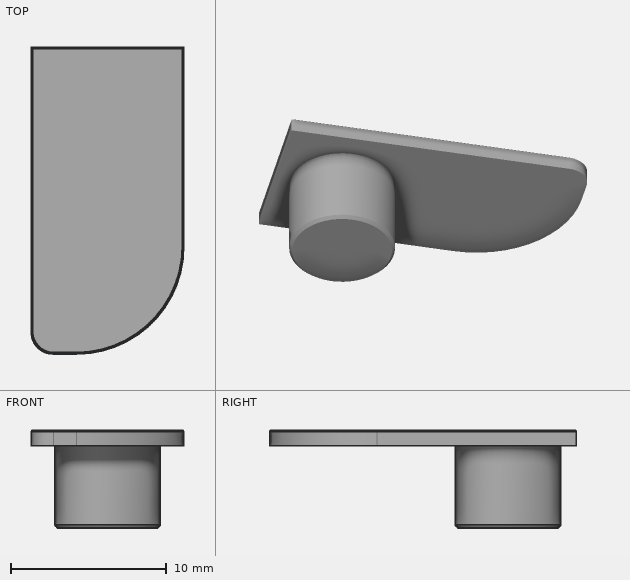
import cadquery as cq

plate_width = 9.8
plate_length = 19.72
plate_thickness = 1.0
small_corner_radius = 1.42
large_corner_radius = 6.9
top_edge_chamfer = 0.1

total_height = 6.3
boss_diameter = 6.8
boss_height = total_height - plate_thickness
boss_to_back_edge = 4.4
boss_chamfer = 0.2


def make_plate():
    """Flat plate with two unequal rounded front corners and a broken top edge."""
    plate = cq.Workplane("XY").rect(plate_width, plate_length).extrude(plate_thickness)
    plate = plate.edges("|Z and <X and <Y").fillet(small_corner_radius)
    plate = plate.edges("|Z and >X and <Y").fillet(large_corner_radius)
    return plate.faces(">Z").edges().chamfer(top_edge_chamfer)


def make_boss():
    """Cylinder hanging below the plate, chamfered at its free end."""
    boss_y = plate_length / 2 - boss_to_back_edge
    boss = cq.Workplane("XY").center(0, boss_y).circle(boss_diameter / 2).extrude(-boss_height)
    return boss.faces("<Z").edges().chamfer(boss_chamfer)


result = make_plate().union(make_boss())